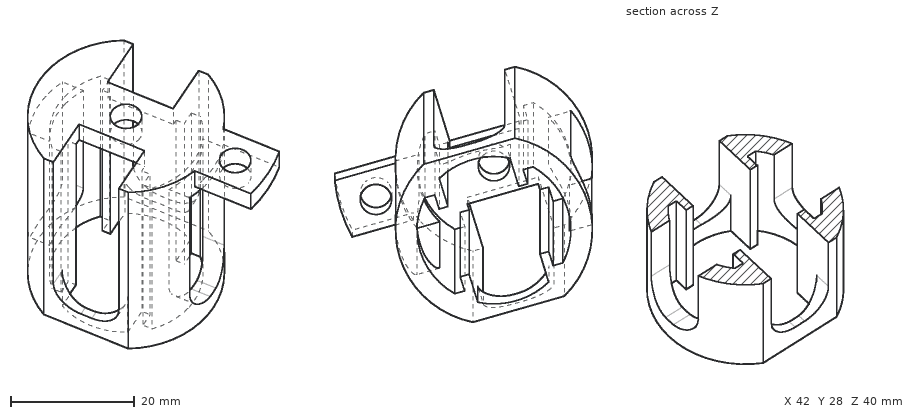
import cadquery as cq

body_radius = 16.0
bore_radius = 12.5
body_height = 40.0
width_across_flats = 28.0
cap_thickness = 4.0
cap_underside = body_height - cap_thickness

window_width = 12.0
window_corner_radius = 5.0
window_floor = 4.0
side_window_lintel = 2.0
side_window_top = cap_underside - side_window_lintel

post_inner_face = window_width / 2
post_rib_thickness = 1.5
post_flange_start = 8.5

arm_width = 10.0
arm_tip_radius = 26.0
arm_hole_diameter = 5.1
arm_hole_spacing = 20.0


def make_body():
    """Flat-sided cylinder, bored from below up to the cap."""
    cylinder = cq.Workplane("XY").circle(body_radius).extrude(body_height)
    flats = cq.Workplane("XY").rect(2 * body_radius, width_across_flats).extrude(body_height)
    bore = cq.Workplane("XY").circle(bore_radius).extrude(cap_underside)
    return cylinder.intersect(flats).cut(bore)


def make_window(plane, through_axis, top):
    """Cutter running along through_axis, with a square top and rounded bottom corners."""
    height = top - window_floor
    return (
        cq.Workplane(plane)
        .center(0, window_floor + height / 2)
        .rect(window_width, height)
        .extrude(2 * body_radius, both=True)
        .faces("<Z")
        .edges(f"|{through_axis}")
        .fillet(window_corner_radius)
    )


def make_corner_posts():
    """Four L-shaped posts: a rib beside each Y window edge and a flange backing onto the bore."""
    rib_outer_face = post_inner_face + post_rib_thickness
    bore = cq.Workplane("XY").circle(bore_radius).extrude(cap_underside)
    post = (
        cq.Workplane("XY")
        .moveTo(post_inner_face, post_inner_face)
        .lineTo(rib_outer_face, post_inner_face)
        .lineTo(rib_outer_face, post_flange_start)
        .lineTo(bore_radius, post_flange_start)
        .lineTo(bore_radius, bore_radius)
        .lineTo(post_inner_face, bore_radius)
        .close()
        .extrude(cap_underside)
        .intersect(bore)
    )
    pair = post.union(post.mirror("YZ"))
    return pair.union(pair.mirror("XZ"))


def make_arm():
    """Bar across the open cap, ending in an arc centred on the body axis."""
    start = -window_width / 2
    bar = (
        cq.Workplane("XY", origin=(start, 0, cap_underside))
        .rect(arm_tip_radius - start, arm_width, centered=(False, True))
        .extrude(cap_thickness)
    )
    tip = cq.Workplane("XY").circle(arm_tip_radius).extrude(body_height)
    return bar.intersect(tip)


def make_arm_holes():
    """One hole on the body axis and one near the arm tip."""
    return (
        cq.Workplane("XY", origin=(0, 0, cap_underside))
        .pushPoints([(0, 0), (arm_hole_spacing, 0)])
        .circle(arm_hole_diameter / 2)
        .extrude(cap_thickness)
    )


front_window = make_window("XZ", "Y", body_height)
side_window = make_window("YZ", "X", side_window_top)

result = (
    make_body()
    .cut(front_window)
    .cut(side_window)
    .union(make_corner_posts())
    .union(make_arm())
    .cut(make_arm_holes())
)